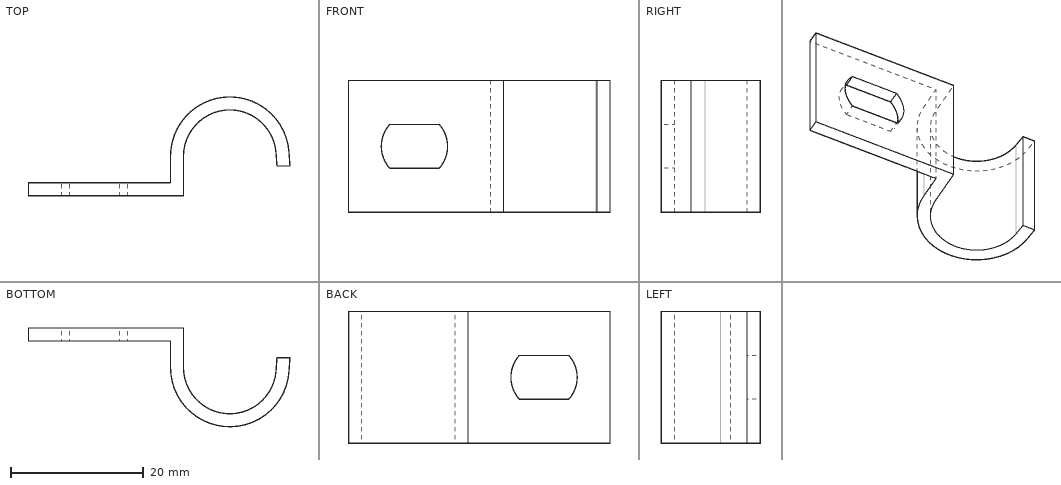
import cadquery as cq
import math

thickness = 2.0
clip_depth = 20.0
plate_length = 23.5
inner_radius = 7.0
axis_y = 6.0
tip_drop = 1.5
splay_angle = math.radians(4.0)

slot_diameter = 10.0
slot_height = 6.6
slot_center_x = 10.0

outer_radius = inner_radius + thickness
axis_x = plate_length + inner_radius
upright_outer_x = plate_length - thickness
tip_y = axis_y - tip_drop


def saddle_top(radius):
    """Highest point of a saddle arc."""
    return (axis_x, axis_y + radius)


def lip_start(radius):
    """Point where a saddle arc runs tangentially into the free lip."""
    return (
        axis_x + radius * math.cos(splay_angle),
        axis_y + radius * math.sin(splay_angle),
    )


def lip_tip(radius):
    """Lower end of the straight lip that continues a saddle arc."""
    start_x, start_y = lip_start(radius)
    return (start_x + (start_y - tip_y) * math.tan(splay_angle), tip_y)


def make_strip():
    """Bent strip: plate, upright, round saddle and splayed free lip."""
    return (
        cq.Workplane("XY")
        .moveTo(0, 0)
        .lineTo(plate_length, 0)
        .lineTo(plate_length, axis_y)
        .threePointArc(saddle_top(inner_radius), lip_start(inner_radius))
        .lineTo(*lip_tip(inner_radius))
        .lineTo(*lip_tip(outer_radius))
        .lineTo(*lip_start(outer_radius))
        .threePointArc(saddle_top(outer_radius), (upright_outer_x, axis_y))
        .lineTo(upright_outer_x, thickness)
        .lineTo(0, thickness)
        .close()
        .extrude(clip_depth)
    )


def make_slot():
    """Flat-sided round cutter that passes through the plate along Y."""
    slot_plane = cq.Workplane("XZ", origin=(slot_center_x, 0, clip_depth / 2))
    cylinder = slot_plane.circle(slot_diameter / 2).extrude(-thickness)
    flats = slot_plane.rect(slot_diameter, slot_height).extrude(-thickness)
    return cylinder.intersect(flats)


result = make_strip().cut(make_slot())